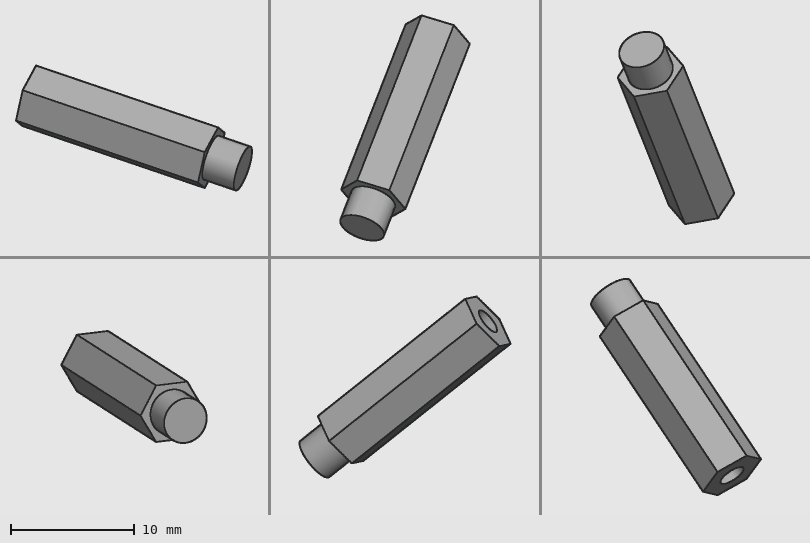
import cadquery as cq
import math

OVERALL_LENGTH = 18.77
HEX_LENGTH = 16.0
HEX_ACROSS_FLATS = 4.76
HEX_ACROSS_CORNERS = HEX_ACROSS_FLATS / math.cos(math.pi / 6)

SHANK_DIAMETER = 3.76
SHANK_LENGTH = OVERALL_LENGTH - HEX_LENGTH

BORE_DIAMETER = 2.2
BORE_DEPTH = HEX_LENGTH


def hex_body():
    """Hexagonal bar from the open end to the shoulder."""
    return cq.Workplane("YZ").polygon(6, HEX_ACROSS_CORNERS).extrude(HEX_LENGTH)


def round_shank():
    """Solid round shank standing on the shoulder."""
    shoulder = cq.Workplane("YZ", origin=(HEX_LENGTH, 0, 0))
    return shoulder.circle(SHANK_DIAMETER / 2).extrude(SHANK_LENGTH)


def blind_bore():
    """Cutter for the flat-bottomed bore in the open hexagonal end."""
    return cq.Workplane("YZ").circle(BORE_DIAMETER / 2).extrude(BORE_DEPTH)


result = hex_body().union(round_shank()).cut(blind_bore())